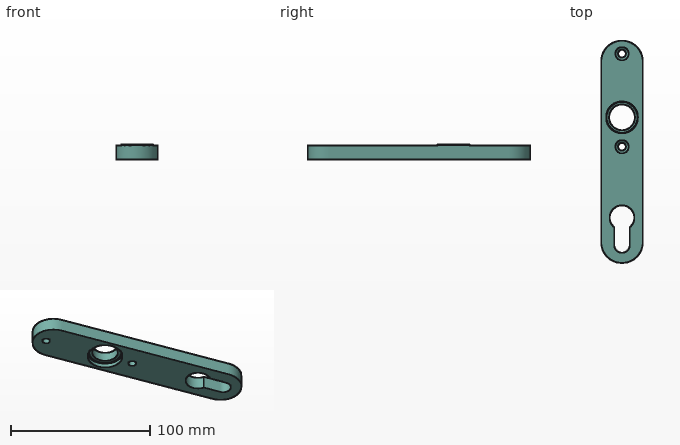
import cadquery as cq

plate_length = 160.0
plate_width = 30.0
plate_thickness = 10.0

ring_y = 24.8
ring_outer_diameter = 23.0
ring_bore_diameter = 18.4
ring_top = 11.0
ring_bottom = 3.5
ring_chamfer = 0.5
seat_relief_diameter = 25.0

screw_hole_ys = (70.5, 3.7)
screw_hole_diameter = 5.5
countersink_diameter = 9.6
countersink_angle = 90.0

keyhole_to_ring = 72.2
keyhole_y = ring_y - keyhole_to_ring
keyhole_diameter = 17.6
keyhole_slot_width = 11.0
keyhole_slot_end_y = -72.5


def vertical_cylinder(y, diameter, bottom, top):
    """Cylinder on the plate's centre line, between two heights."""
    return cq.Workplane("XY", origin=(0, y, bottom)).circle(diameter / 2).extrude(top - bottom)


def make_keyhole_cutter():
    """Round hole with a round-ended slot running down from its centre."""
    round_part = vertical_cylinder(keyhole_y, keyhole_diameter, 0, plate_thickness)
    slot_round_y = keyhole_slot_end_y + keyhole_slot_width / 2
    slot_end = vertical_cylinder(slot_round_y, keyhole_slot_width, 0, plate_thickness)
    slot_straight = (
        cq.Workplane("XY", origin=(0, (keyhole_y + slot_round_y) / 2, 0))
        .rect(keyhole_slot_width, keyhole_y - slot_round_y)
        .extrude(plate_thickness)
    )
    return round_part.union(slot_straight).union(slot_end)


def make_plate():
    """Round-ended plate with screw holes, keyhole and the seat of the ring."""
    plate = cq.Workplane("XY").slot2D(plate_length, plate_width, 90).extrude(plate_thickness)
    plate = (
        plate.faces(">Z").workplane(origin=(0, 0, plate_thickness))
        .pushPoints([(0, y) for y in screw_hole_ys])
        .cskHole(screw_hole_diameter, countersink_diameter, countersink_angle)
    )
    plate = plate.cut(make_keyhole_cutter())
    plate = plate.cut(vertical_cylinder(ring_y, ring_outer_diameter, ring_bottom, plate_thickness))
    return plate.cut(vertical_cylinder(ring_y, seat_relief_diameter, 0, ring_bottom))


def make_guide_ring():
    """Plain ring standing slightly proud of the plate, chamfered around its top."""
    ring = vertical_cylinder(ring_y, ring_outer_diameter, ring_bottom, ring_top)
    ring = ring.faces(">Z").chamfer(ring_chamfer)
    return ring.cut(vertical_cylinder(ring_y, ring_bore_diameter, ring_bottom, ring_top))


plate = make_plate()
guide_ring = make_guide_ring()

result = cq.Compound.makeCompound([plate.val(), guide_ring.val()])